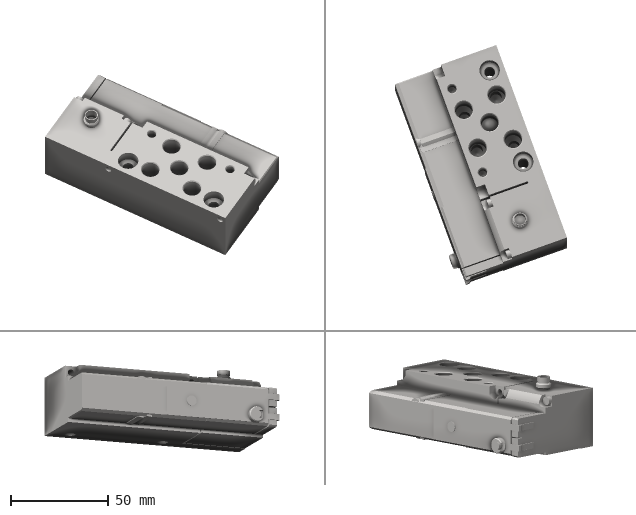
import cadquery as cq
import math

block_length = 107.2
block_depth = 34.9
block_height = 30.7

bar_depth = 9.0
port_block_left = 34.6

port_diameter = 9.1
port_chamfer = 0.4
port_depth = 13.0
drill_tip_angle = 118.0
channel_diameter = 6.0
channel_depth = 8.7
channel_offset = 1.3
rear_port_y = 27.2
front_port_y = 8.6
port_places = [
    (59.7, rear_port_y, channel_offset),
    (80.8, rear_port_y, -channel_offset),
    (57.8, front_port_y, -channel_offset),
    (82.6, front_port_y, channel_offset),
]
domed_port_x = 70.2
domed_port_y = 16.9

pin_hole_diameter = 4.5
pin_hole_chamfer = 0.4
pin_hole_depth = 6.5
pin_hole_xs = (46.8, 93.3)
pin_hole_y = 29.2

mount_hole_diameter = 5.5
mount_bore_diameter = 10.5
mount_bore_depth = 5.4
mount_hole_xs = (45.0, 95.9)
mount_hole_y = 7.7

cross_hole_diameter = 3.4
cross_hole_xs = (37.5, 103.9)
cross_hole_z = 27.3
notch_depth = 4.7
left_notch_radius = 3.0
right_notch_left = 100.9
right_notch_flat = 103.6
right_notch_drop = 2.7
right_notch_floor = 24.5

adapter_length = 33.5
adapter_bottom = 0.2
rounding_top_y = 32.4
rounding_height = 4.3
rounding_middle = (34.0, 28.8)
cap_length = 4.2
cap_bottom = 1.7
cap_top = 22.2
cap_back = 55.4
cap_chamfer = 0.8
cap_slot_z = 11.9
cap_slot_height = 0.8
cap_slot_front = 52.7
lug_length = 0.3
lug_front = 27.0
lug_top = 25.0

connector_x = 16.2
connector_y = 19.9
connector_neck = 6.7
connector_waist = 6.3
connector_ring = 8.0
connector_ring_bottom = 31.1
connector_ring_top = 34.1
connector_ring_bevel = 0.7
connector_waist_top = 35.0
connector_top = 37.2
socket_diameter = 6.0
socket_depth = 5.4

screw_head_diameter = 4.5
screw_head_length = 2.2
screw_recess_radius = 2.6
screw_recess_front = 30.1
screw_xs = (2.4, 30.8)
screw_z = 28.0
screw_recess_z = 27.8

valve_left = 4.9
valve_bottom = 1.8
valve_top = 22.2
valve_back = 55.4
valve_edge_run = 1.8
valve_edge_drop = 1.3
left_edge_run = 1.1
left_edge_end = 38.4
panel_thickness = 0.3
panel_right = 60.5
end_chamfer = 0.5
ridge_height = 0.8
ridge_step = 0.3
ridge_left = 68.5
ridge_valley = 71.2
ridge_crest = 72.9
ridge_right = 75.6
ridge_back = 54.7
stud_x = 74.2
stud_diameter = 6.0
stud_front = 53.3
stud_back = 55.2
stud_top = 22.7

button_x = 12.0
button_z = 6.8
button_diameter = 8.0
button_end = 59.0
button_chamfer = 0.4
button_core_diameter = 4.1
button_slot_depth = 2.4
boss_x = 47.2
boss_z = 11.6
boss_diameter = 5.3
boss_back = 56.3

clip_height = 3.1
clip_zs = (6.7, 17.3)
clip_clearance = 0.1
clip_front = 44.0
clip_arm = 0.3
clip_hook = 1.3
clip_hook_front = 53.9
clip_hook_slope = 1.2
clip_back = 55.8


def box(x0, x1, y0, y1, z0, z1):
    """Box between two opposite corners."""
    return cq.Workplane("XY").box(x1 - x0, y1 - y0, z1 - z0, centered=False).translate((x0, y0, z0))


def cylinder_z(x, y, z0, z1, diameter):
    return cq.Workplane("XY", origin=(x, y, z0)).circle(diameter / 2).extrude(z1 - z0)


def cylinder_y(x, z, y0, y1, diameter):
    return cq.Workplane("XZ", origin=(x, y0, z)).circle(diameter / 2).extrude(y0 - y1)


def extrude_along_y(points, y0, y1):
    """Prism with an (x, z) outline."""
    return cq.Workplane("XZ", origin=(0, y0, 0)).polyline(points).close().extrude(y0 - y1)


def extrude_along_x(points, x0, x1):
    """Prism with a (y, z) outline."""
    return cq.Workplane("YZ", origin=(x0, 0, 0)).polyline(points).close().extrude(x1 - x0)


def extrude_along_z(points, z0, z1):
    """Prism with an (x, y) outline."""
    return cq.Workplane("XY", origin=(0, 0, z0)).polyline(points).close().extrude(z1 - z0)


def drilling(x, y, top, depth, diameter, chamfer=0):
    """Blind hole cutter with a conical tip and an optional countersunk mouth."""
    radius = diameter / 2
    tip = radius / math.tan(math.radians(drill_tip_angle / 2))
    profile = [(0, 0), (radius + chamfer, 0), (radius, -chamfer), (radius, -depth), (0, -depth - tip)]
    if not chamfer:
        profile.pop(1)
    cutter = cq.Workplane("XZ").polyline(profile).close().revolve(360, (0, 0, 0), (0, 1, 0))
    return cutter.translate((x, y, top))


def domed_port():
    """Countersunk port whose floor is a raised hemisphere."""
    radius = port_diameter / 2
    arc_offset = radius * math.sqrt(0.5)
    cutter = (
        cq.Workplane("XZ")
        .lineTo(radius + port_chamfer, 0)
        .lineTo(radius, -port_chamfer)
        .lineTo(radius, -port_depth)
        .threePointArc((arc_offset, arc_offset - port_depth), (0, radius - port_depth))
        .close()
        .revolve(360, (0, 0, 0), (0, 1, 0))
    )
    return cutter.translate((domed_port_x, domed_port_y, block_height))


def make_manifold():
    body = box(0, block_length, 0, bar_depth, 0, block_height)
    body = body.union(box(port_block_left, block_length, 0, block_depth, 0, block_height))

    for x, y, shift in port_places:
        body = body.cut(drilling(x, y, block_height, port_depth, port_diameter, port_chamfer))
        channel_top = block_height - port_depth
        body = body.cut(drilling(x + shift, y, channel_top, channel_depth, channel_diameter))
    body = body.cut(domed_port())

    for x in pin_hole_xs:
        pin_hole = drilling(x, pin_hole_y, block_height, pin_hole_depth, pin_hole_diameter, pin_hole_chamfer)
        body = body.cut(pin_hole)

    for x in mount_hole_xs:
        body = body.cut(cylinder_z(x, mount_hole_y, 0, block_height, mount_hole_diameter))
        bore_floor = block_height - mount_bore_depth
        body = body.cut(cylinder_z(x, mount_hole_y, bore_floor, block_height, mount_bore_diameter))

    for x in cross_hole_xs:
        body = body.cut(cylinder_y(x, cross_hole_z, 0, block_depth, cross_hole_diameter))

    notch_front = block_depth - notch_depth
    x = cross_hole_xs[0]
    body = body.cut(cylinder_y(x, cross_hole_z, notch_front, block_depth, 2 * left_notch_radius))
    left_wall, right_wall = x - left_notch_radius, x + left_notch_radius
    body = body.cut(box(left_wall, right_wall, notch_front, block_depth, cross_hole_z, block_height))
    right_notch = [
        (right_notch_left, block_height),
        (right_notch_left, block_height - right_notch_drop),
        (right_notch_flat, right_notch_floor),
        (block_length, right_notch_floor),
        (block_length, block_height),
    ]
    return body.cut(extrude_along_y(right_notch, notch_front, block_depth))


def make_connector():
    """Round plug socket with a bevelled ring, hollow at the top."""
    neck, waist, ring = connector_neck / 2, connector_waist / 2, connector_ring / 2
    profile = [
        (0, block_height),
        (neck, block_height),
        (neck, connector_ring_bottom),
        (ring, connector_ring_bottom + connector_ring_bevel),
        (ring, connector_ring_top - connector_ring_bevel),
        (neck, connector_ring_top),
        (waist, connector_ring_top),
        (waist, connector_waist_top),
        (neck, connector_waist_top),
        (neck, connector_top),
        (0, connector_top),
    ]
    body = cq.Workplane("XZ").polyline(profile).close().revolve(360, (0, 0, 0), (0, 1, 0))
    body = body.translate((connector_x, connector_y, 0))
    floor = connector_top - socket_depth
    return body.cut(cylinder_z(connector_x, connector_y, floor, connector_top, socket_diameter))


def clip_bodies():
    """One hooked clip per height: an arm over the cap's face, reaching back to the valve housing."""
    outline = [
        (valve_left, clip_front),
        (-clip_arm, clip_front),
        (-clip_arm, clip_hook_front - clip_hook_slope),
        (-clip_hook, clip_hook_front),
        (-clip_hook, clip_back),
        (valve_left, clip_back),
    ]
    half = clip_height / 2
    return [extrude_along_z(outline, z - half, z + half) for z in clip_zs]


def make_adapter():
    body = (
        cq.Workplane("YZ")
        .moveTo(bar_depth, adapter_bottom)
        .lineTo(block_depth, adapter_bottom)
        .lineTo(block_depth, block_height - rounding_height)
        .threePointArc(rounding_middle, (rounding_top_y, block_height))
        .lineTo(bar_depth, block_height)
        .close()
        .extrude(adapter_length)
    )
    lug_end = adapter_length + lug_length
    body = body.union(box(adapter_length, lug_end, lug_front, block_depth, adapter_bottom, lug_top))

    cap = [
        (block_depth, cap_bottom),
        (cap_back - cap_chamfer, cap_bottom),
        (cap_back, cap_bottom + cap_chamfer),
        (cap_back, cap_top - cap_chamfer),
        (cap_back - cap_chamfer, cap_top),
        (block_depth, cap_top),
    ]
    body = body.union(extrude_along_x(cap, 0, cap_length))
    slot_bottom = cap_slot_z - cap_slot_height / 2
    slot_top = cap_slot_z + cap_slot_height / 2
    body = body.cut(box(0, cap_length, cap_slot_front, cap_back, slot_bottom, slot_top))

    x_left, x_right = screw_xs
    front, back = screw_recess_front, block_depth
    recess_floor = screw_recess_z - screw_recess_radius
    for x, outer in ((x_left, 0), (x_right, adapter_length)):
        low, high = sorted((x, outer))
        inner = x + math.copysign(screw_recess_radius, x - outer)
        wide_low, wide_high = sorted((inner, outer))
        body = body.cut(cylinder_y(x, screw_recess_z, front, back, 2 * screw_recess_radius))
        body = body.cut(box(low, high, front, back, recess_floor, block_height))
        body = body.cut(box(wide_low, wide_high, front, back, screw_recess_z, block_height))

    for z in clip_zs:
        reach = clip_height / 2 + clip_clearance
        body = body.cut(box(0, cap_length, clip_front - clip_clearance, cap_back, z - reach, z + reach))

    return body.union(make_connector())


def make_screw(x):
    head_end = screw_recess_front + screw_head_length
    return cylinder_y(x, screw_z, screw_recess_front, head_end, screw_head_diameter)


def make_ridge():
    """Two saw teeth across the top of the valve housing, the right one ending at the stud."""
    step = valve_top + ridge_step
    root = valve_top - valve_edge_drop
    left_tooth = [
        (ridge_left, root),
        (ridge_left, step),
        (ridge_valley, valve_top),
        (ridge_valley, root),
    ]
    right_tooth = [
        (ridge_valley, root),
        (ridge_valley, valve_top),
        (ridge_crest, valve_top + ridge_height),
        (ridge_right, step),
        (ridge_right, root),
    ]
    left = extrude_along_y(left_tooth, block_depth, ridge_back)
    return left.union(extrude_along_y(right_tooth, block_depth, stud_front))


def make_button():
    """Bevelled round button whose left side is slotted open down to its core."""
    button = cylinder_y(button_x, button_z, valve_back, button_end, button_diameter)
    button = button.faces(">Y").chamfer(button_chamfer)
    slot_front = button_end - button_slot_depth
    slot_left = button_x - button_diameter / 2
    half = button_core_diameter / 2
    slot = box(slot_left, button_x, slot_front, button_end, button_z - half, button_z + half)
    core = cylinder_y(button_x, button_z, slot_front, button_end, button_core_diameter)
    return button.cut(slot.cut(core))


def make_valve():
    front, back = block_depth, valve_back
    body = box(valve_left, block_length, front, back, valve_bottom, valve_top)

    for x0, x1, run in (
        (valve_left, left_edge_end, left_edge_run),
        (left_edge_end, block_length, valve_edge_run),
    ):
        for edge_z, drop in ((valve_top, -valve_edge_drop), (valve_bottom, valve_edge_drop)):
            wedge = [(back - run, edge_z), (back, edge_z), (back, edge_z + drop)]
            body = body.cut(extrude_along_x(wedge, x0, x1))
    for edge_z, drop in ((valve_top, -end_chamfer), (valve_bottom, end_chamfer)):
        wedge = [
            (block_length - end_chamfer, edge_z),
            (block_length, edge_z),
            (block_length, edge_z + drop),
        ]
        body = body.cut(extrude_along_y(wedge, front, back))

    ridge = make_ridge()
    body = body.union(ridge)
    body = body.union(ridge.mirror("XY", (0, 0, (valve_top + valve_bottom) / 2)))

    stud_z = stud_top - stud_diameter / 2
    body = body.union(cylinder_y(stud_x, stud_z, stud_front, stud_back, stud_diameter))

    panel_low, panel_high = valve_bottom + valve_edge_drop, valve_top - valve_edge_drop
    body = body.union(box(valve_left, panel_right, back, back + panel_thickness, panel_low, panel_high))

    body = body.union(make_button())
    return body.union(cylinder_y(boss_x, boss_z, back, boss_back, boss_diameter))


clips = clip_bodies()
manifold = make_manifold()
adapter = make_adapter()
valve = make_valve()
screws = [make_screw(x) for x in screw_xs]

result = cq.Compound.makeCompound(
    [
        manifold.val(),
        adapter.val(),
        valve.val(),
        *[screw.val() for screw in screws],
        *[clip.val() for clip in clips],
    ]
)